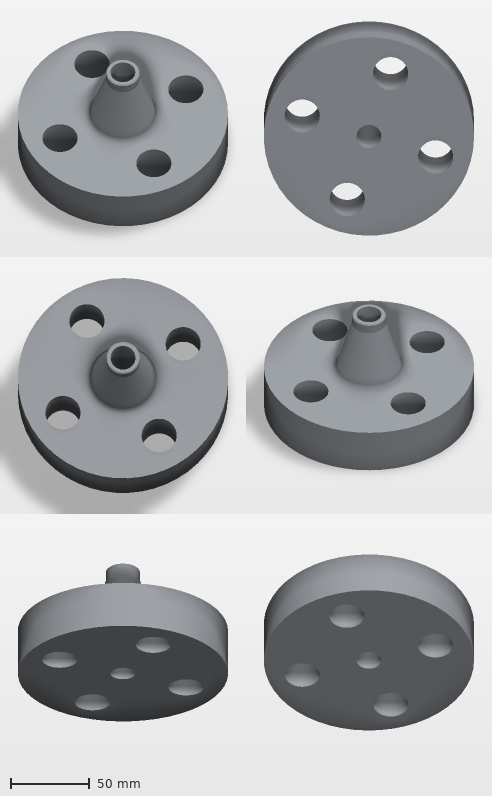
import cadquery as cq

flange_diameter = 133.3
flange_thickness = 30.5
overall_height = 73.2

bolt_count = 4
bolt_circle_diameter = 88.9
bolt_hole_diameter = 22.3

hub_base_diameter = 42.9
hub_fillet_radius = 2.9
neck_diameter = 21.3
neck_height = 6.7
neck_chamfer = 0.7
bore_diameter = 15.7

flange_radius = flange_diameter / 2
hub_base_radius = hub_base_diameter / 2
neck_radius = neck_diameter / 2
neck_bottom = overall_height - neck_height


def turned_body():
    """Revolve the flange, hub and neck about Z, then fillet the hub base and chamfer the neck."""
    profile = (
        cq.Workplane("XZ")
        .lineTo(flange_radius, 0)
        .lineTo(flange_radius, flange_thickness)
        .lineTo(hub_base_radius, flange_thickness)
        .lineTo(neck_radius, neck_bottom)
        .lineTo(neck_radius, overall_height)
        .lineTo(0, overall_height)
        .close()
    )
    body = profile.revolve(360, (0, 0, 0), (0, 1, 0))
    hub_base = cq.selectors.RadiusNthSelector(-2)
    body = body.edges("%CIRCLE").edges(hub_base).fillet(hub_fillet_radius)
    return body.faces(">Z").edges().chamfer(neck_chamfer)


def bore():
    """Straight passage through the neck, hub and flange."""
    return cq.Workplane("XY").circle(bore_diameter / 2).extrude(overall_height)


def bolt_holes():
    """Through holes evenly spaced on the bolt circle, starting on the X axis."""
    return (
        cq.Workplane("XY")
        .polarArray(bolt_circle_diameter / 2, 0, 360, bolt_count)
        .circle(bolt_hole_diameter / 2)
        .extrude(flange_thickness)
    )


result = turned_body().cut(bore()).cut(bolt_holes())